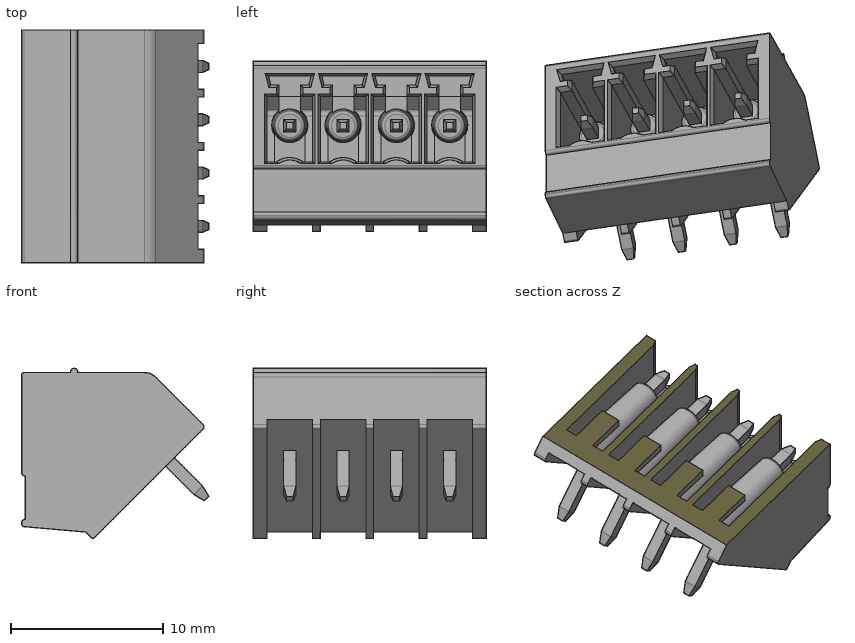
import cadquery as cq
import math

SQRT2 = math.sqrt(2)

POLES = 4
PITCH = 3.5
WIDTH = 15.3
TOP_Z = 10.9
TOP_EDGE_X = 8.5
MOUNT_OFFSET = 4.73
FOOT_SUM = 4.63
FOOT_HEIGHT = 0.66
UNDERSIDE_SLOPE = 5.0
PANEL_X = 0.23
PANEL_TOP_Z = 4.1
PANEL_BOTTOM_Z = 1.27
TOP_FRONT_RADIUS = 0.15
TOP_REAR_RADIUS = 1.0
REAR_TIP_RADIUS = 0.2
FOOT_TIP_RADIUS = 0.12
LIP_RADIUS = 0.2
RIB_X = 3.45
RIB_RADIUS = 0.24
RIB_HEIGHT = 0.28

CELL_WIDTH = 2.98
FLOOR_Z = 4.57
CEILING_Z = 8.87
FLARE = 0.17
FLOOR_FLARE = 0.12
FLARE_DEPTH = 0.43
KEY_SLOT_X = 7.0
STEM_WIDTH = 1.4
KEY_BOTTOM_Z = 9.63
KEY_TOP_Z = 10.21
KEY_BOTTOM_WIDTH = 2.5
KEY_TOP_WIDTH = 2.8
BUMP_RADIUS = 1.45
BUMP_HEIGHT = 0.29
WALL = 1.0
CAVITY_APEX_RADIUS = 0.29
PAD_X = 6.9
PAD_WIDTH = 2.0

CONTACT_Z = 6.94
BOSS_X = 3.0
BOSS_FRONT_RADIUS = 0.96
BOSS_PAD_RADIUS = 1.1
BOSS_FILLET = 0.2
PIN_SIZE = 0.8
PIN_EMBED = 0.3
CONTACT_TIP_X = 0.9
CONTACT_TIP_SIZE = 0.43
CONTACT_TAPER = 0.73
SOLDER_AXIS_SUM = 14.77
SOLDER_LENGTH = 3.39
SOLDER_TIP_SIZE = 0.43
SOLDER_TAPER = 0.78

REAR_SUM = TOP_EDGE_X + TOP_Z
RECESS_OFFSET = MOUNT_OFFSET - FOOT_HEIGHT * SQRT2
POLE_Y = [(i - (POLES - 1) / 2) * PITCH for i in range(POLES)]


def meet(total, offset):
    """Point (x, z) where the planes x + z = total and x - z = offset cross."""
    return ((total + offset) / 2, (total - offset) / 2)


def extrude_across(profile, width):
    """Extrude an XZ sketch symmetrically about Y = 0."""
    return profile.extrude(width / 2, both=True)


def round_edge(solid, x, z, radius):
    """Fillet the full-width Y edge that passes through (x, z)."""
    return solid.edges(cq.selectors.NearestToPointSelector((x, 0, z))).fillet(radius)


def make_housing():
    rear_tip = meet(REAR_SUM, MOUNT_OFFSET)
    foot_tip = meet(FOOT_SUM, MOUNT_OFFSET)
    foot_root = meet(FOOT_SUM, RECESS_OFFSET)
    lip_z = foot_root[1] + foot_root[0] * math.tan(math.radians(UNDERSIDE_SLOPE))
    quarter = PANEL_X * (1 - 1 / SQRT2)
    profile = (
        cq.Workplane("XZ")
        .moveTo(0, TOP_Z)
        .lineTo(TOP_EDGE_X, TOP_Z)
        .lineTo(*rear_tip)
        .lineTo(*foot_tip)
        .lineTo(*foot_root)
        .lineTo(0, lip_z)
        .lineTo(0, PANEL_BOTTOM_Z - PANEL_X)
        .threePointArc((quarter, PANEL_BOTTOM_Z - quarter), (PANEL_X, PANEL_BOTTOM_Z))
        .lineTo(PANEL_X, PANEL_TOP_Z)
        .threePointArc((quarter, PANEL_TOP_Z + quarter), (0, PANEL_TOP_Z + PANEL_X))
        .close()
    )
    housing = extrude_across(profile, WIDTH)
    housing = round_edge(housing, 0, TOP_Z, TOP_FRONT_RADIUS)
    housing = round_edge(housing, TOP_EDGE_X, TOP_Z, TOP_REAR_RADIUS)
    housing = round_edge(housing, *rear_tip, REAR_TIP_RADIUS)
    housing = round_edge(housing, *foot_tip, FOOT_TIP_RADIUS)
    return round_edge(housing, 0, lip_z, LIP_RADIUS)


def make_top_rib():
    rib = cq.Workplane("XZ").center(RIB_X, TOP_Z + RIB_HEIGHT - RIB_RADIUS).circle(RIB_RADIUS)
    return extrude_across(rib, WIDTH)


def make_foot_gap():
    """Slab removed from the mounting face below one pole, leaving feet on both sides."""
    rear = meet(REAR_SUM + FOOT_HEIGHT, RECESS_OFFSET)
    front = meet(FOOT_SUM - FOOT_HEIGHT, RECESS_OFFSET)
    drop = FOOT_HEIGHT * SQRT2
    profile = cq.Workplane("XZ").polyline([
        rear,
        (rear[0] + drop, rear[1] - drop),
        (front[0] + drop, front[1] - drop),
        front,
    ]).close()
    return extrude_across(profile, CELL_WIDTH)


def opening_outline(workplane, flare, floor_flare):
    """Window with a floor bump, a stem and a dovetail key slot, drawn in YZ."""
    key_slope = (KEY_TOP_WIDTH - KEY_BOTTOM_WIDTH) / 2 / (KEY_TOP_Z - KEY_BOTTOM_Z)
    key_top = KEY_TOP_WIDTH / 2 + flare * (1 + key_slope)
    key_bottom = KEY_BOTTOM_WIDTH / 2 + flare * (1 - key_slope)
    stem = STEM_WIDTH / 2 + flare
    window = CELL_WIDTH / 2 + flare
    floor_z = FLOOR_Z - floor_flare
    bump_radius = BUMP_RADIUS - flare
    bump_center_z = FLOOR_Z + BUMP_HEIGHT - BUMP_RADIUS
    bump = math.sqrt(bump_radius**2 - (floor_z - bump_center_z)**2)
    return (
        workplane.moveTo(-bump, floor_z)
        .threePointArc((0, bump_center_z + bump_radius), (bump, floor_z))
        .lineTo(window, floor_z)
        .lineTo(window, CEILING_Z + flare)
        .lineTo(stem, CEILING_Z + flare)
        .lineTo(stem, KEY_BOTTOM_Z - flare)
        .lineTo(key_bottom, KEY_BOTTOM_Z - flare)
        .lineTo(key_top, KEY_TOP_Z + flare)
        .lineTo(-key_top, KEY_TOP_Z + flare)
        .lineTo(-key_bottom, KEY_BOTTOM_Z - flare)
        .lineTo(-stem, KEY_BOTTOM_Z - flare)
        .lineTo(-stem, CEILING_Z + flare)
        .lineTo(-window, CEILING_Z + flare)
        .lineTo(-window, floor_z)
        .close()
    )


def make_lead_in():
    front = opening_outline(cq.Workplane("YZ"), FLARE, FLOOR_FLARE)
    front_and_back = opening_outline(front.workplane(offset=FLARE_DEPTH), 0, 0)
    return front_and_back.loft(ruled=True)


def make_key_slot():
    """Stem and dovetail above the window, running back from the lead-in."""
    outline = opening_outline(cq.Workplane("YZ", origin=(FLARE_DEPTH, 0, 0)), 0, 0)
    slot = outline.extrude(KEY_SLOT_X - FLARE_DEPTH)
    window = cq.Workplane("XY").box(2 * KEY_SLOT_X, 2 * CELL_WIDTH, 2 * CEILING_Z)
    return slot.cut(window)


def make_boss():
    """Tapered round boss around the contact pin, widening towards the back wall."""
    taper = (BOSS_PAD_RADIUS - BOSS_FRONT_RADIUS) / (PAD_X - BOSS_X)
    depth = REAR_SUM - CONTACT_Z - BOSS_X
    boss = cq.Solid.makeCone(
        BOSS_FRONT_RADIUS,
        BOSS_FRONT_RADIUS + taper * depth,
        depth,
        pnt=cq.Vector(BOSS_X, 0, CONTACT_Z),
        dir=cq.Vector(1, 0, 0),
    )
    return cq.Workplane(boss).faces("<X").edges().fillet(BOSS_FILLET)


def make_cavity():
    """Space behind the lead-in; its back is a 45 degree V with the pad and boss left standing."""
    lower_offset = RECESS_OFFSET - WALL * SQRT2
    upper_sum = REAR_SUM - WALL * SQRT2
    apex = meet(upper_sum, lower_offset)
    profile = cq.Workplane("XZ").polyline([
        (FLARE_DEPTH, FLOOR_Z),
        (FLOOR_Z + lower_offset, FLOOR_Z),
        apex,
        (upper_sum - CEILING_Z, CEILING_Z),
        (FLARE_DEPTH, CEILING_Z),
    ]).close()
    cavity = round_edge(extrude_across(profile, CELL_WIDTH), *apex, CAVITY_APEX_RADIUS)

    length = apex[0]
    bump = (
        cq.Workplane("YZ")
        .center(0, FLOOR_Z + BUMP_HEIGHT - BUMP_RADIUS)
        .circle(BUMP_RADIUS)
        .extrude(length)
    )
    lower_pad = cq.Workplane("XY").box(length, PAD_WIDTH, CONTACT_Z, centered=(False, True, False))
    upper_pad = cq.Workplane("XY").box(length, STEM_WIDTH, TOP_Z, centered=(False, True, False))
    pad = lower_pad.union(upper_pad).translate((PAD_X, 0, 0))
    return cavity.cut(bump).cut(pad).cut(make_boss())


def make_pin(start, tip, tip_size, taper_length):
    """Square pin from start to tip, both (x, z), ending in a pyramid taper."""
    run = (tip[0] - start[0], tip[1] - start[1])
    length = math.hypot(*run)
    plane = cq.Plane(
        origin=(start[0], 0, start[1]),
        xDir=(0, 1, 0),
        normal=(run[0], 0, run[1]),
    )
    shank_length = length - taper_length
    shank = cq.Workplane(plane).rect(PIN_SIZE, PIN_SIZE).extrude(shank_length)
    point = (
        cq.Workplane(plane)
        .workplane(offset=shank_length)
        .rect(PIN_SIZE, PIN_SIZE)
        .workplane(offset=taper_length)
        .rect(tip_size, tip_size)
        .loft(ruled=True)
    )
    return shank.union(point)


def make_pins():
    """Contact pin in the cavity and solder pin below the mounting face."""
    contact = make_pin(
        (BOSS_X + PIN_EMBED, CONTACT_Z), (CONTACT_TIP_X, CONTACT_Z), CONTACT_TIP_SIZE, CONTACT_TAPER
    )
    solder = make_pin(
        meet(SOLDER_AXIS_SUM, RECESS_OFFSET - PIN_EMBED * SQRT2),
        meet(SOLDER_AXIS_SUM, MOUNT_OFFSET + SOLDER_LENGTH * SQRT2),
        SOLDER_TIP_SIZE,
        SOLDER_TAPER,
    )
    return contact, solder


def build():
    part = make_housing().union(make_top_rib())
    cutters = (make_lead_in(), make_key_slot(), make_cavity(), make_foot_gap())
    pins = make_pins()
    for y in POLE_Y:
        for cutter in cutters:
            part = part.cut(cutter.translate((0, y, 0)))
        for pin in pins:
            part = part.union(pin.translate((0, y, 0)))
    return part


result = build()